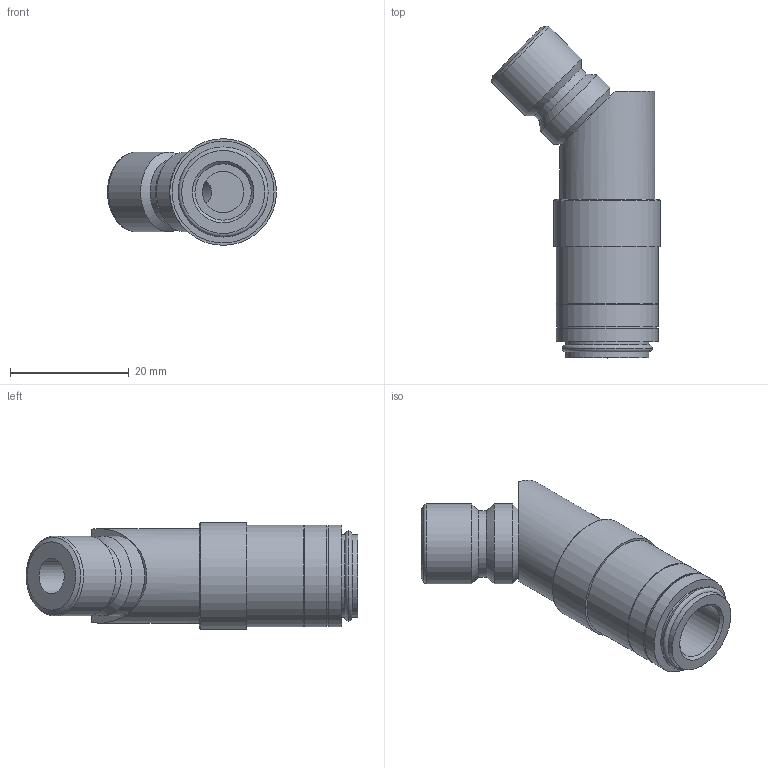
import cadquery as cq
import math

nose_radius = 7.0
shoulder_y = 2.73
sleeve_radius = 8.6
collar_radius = 9.0
collar_front_y = 18.75
collar_rear_y = 26.75
collar_chamfer = 0.2
stem_radius = 8.0
stem_end_y = 45.0

ring_y = 1.6
ring_section_radius = 0.6

groove_depth = 0.2
sleeve_grooves = [(5.1, 0.32), (9.05, 0.15)]

mouth_radius = 4.75
mouth_chamfer = 0.45
mouth_chamfer_angle = 45.0
mouth_depth = collar_front_y
bore_radius = 3.5
bore_depth = 42.67

tilt_angle = 45.0
tilt_origin_y = 36.51
seat_offset = 5.05
plug_radius = 6.75
plug_base_gap = 0.1
plug_base_chamfer = 0.92
neck_radius = 5.63
neck_start = 10.5
neck_end = 11.82
front_flank_length = 1.37
rear_flank_length = plug_radius - neck_radius
plug_end = 21.49
rim_cone_angle = 60.0
rim_cone_length = 0.42
rim_round_radius = 0.5
plug_bore_radius = 3.0

body_plane = cq.Plane(origin=(0, 0, 0), xDir=(1, 0, 0), normal=(0, -1, 0))
tilt_direction = (-math.sin(math.radians(tilt_angle)), math.cos(math.radians(tilt_angle)), 0)
tilt_plane = cq.Plane(origin=(0, tilt_origin_y, 0), xDir=(0, 0, 1), normal=tilt_direction)


def body_cylinder(radius, start_y, end_y):
    """Cylinder about the Y axis between two Y positions."""
    return cq.Workplane(body_plane).workplane(offset=-end_y).circle(radius).extrude(end_y - start_y)


def tilted_cylinder(radius, start, end):
    """Cylinder about the tilted axis between two distances from its origin."""
    return cq.Workplane(tilt_plane).workplane(offset=start).circle(radius).extrude(end - start)


def make_body():
    nose = body_cylinder(nose_radius, 0, shoulder_y)
    sleeve = body_cylinder(sleeve_radius, shoulder_y, collar_front_y)
    collar = body_cylinder(collar_radius, collar_front_y, collar_rear_y)
    collar = collar.faces(">Y").edges().chamfer(collar_chamfer)
    stem = body_cylinder(stem_radius, collar_rear_y, stem_end_y)
    cutter_size = 2 * stem_radius
    stem = stem.cut(tilted_cylinder(cutter_size, seat_offset, seat_offset + cutter_size))
    return nose.union(sleeve).union(collar).union(stem)


def make_ring():
    section = cq.Workplane("XY").center(nose_radius, ring_y).circle(ring_section_radius)
    return section.revolve(360, (-nose_radius, 0, 0), (-nose_radius, 1, 0))


def make_sleeve_groove(centre_y, width):
    start_y = centre_y - width / 2
    end_y = centre_y + width / 2
    outside = body_cylinder(collar_radius, start_y, end_y)
    return outside.cut(body_cylinder(sleeve_radius - groove_depth, start_y, end_y))


def rim_round_point(angle, round_start):
    """Point (radius, distance) on the plug's rim round after turning by angle degrees."""
    turn = math.radians(angle)
    radius = plug_radius - rim_round_radius * (1 - math.cos(turn))
    return (radius, round_start + rim_round_radius * math.sin(turn))


def make_plug():
    base = seat_offset + plug_base_gap
    base_radius = plug_radius - plug_base_chamfer
    cone_start = plug_end - rim_cone_length
    round_start = cone_start - rim_round_radius * math.sin(math.radians(rim_cone_angle))
    round_middle = rim_round_point(rim_cone_angle / 2, round_start)
    round_end = rim_round_point(rim_cone_angle, round_start)
    end_face_radius = round_end[0] - rim_cone_length * math.tan(math.radians(rim_cone_angle))

    profile_plane = cq.Plane(
        origin=tilt_plane.origin, xDir=tilt_plane.xDir, normal=tilt_plane.xDir.cross(tilt_plane.zDir)
    )
    profile = (
        cq.Workplane(profile_plane)
        .moveTo(0, seat_offset)
        .lineTo(base_radius, seat_offset)
        .lineTo(base_radius, base)
        .lineTo(plug_radius, base + plug_base_chamfer)
        .lineTo(plug_radius, neck_start - front_flank_length)
        .lineTo(neck_radius, neck_start)
        .lineTo(neck_radius, neck_end)
        .lineTo(plug_radius, neck_end + rear_flank_length)
        .lineTo(plug_radius, round_start)
        .threePointArc(round_middle, round_end)
        .lineTo(end_face_radius, plug_end)
        .lineTo(0, plug_end)
        .close()
    )
    return profile.revolve(360, (0, 0, 0), (0, 1, 0))


def make_bores():
    mouth = body_cylinder(mouth_radius, 0, mouth_depth)
    flare = cq.Workplane(body_plane).circle(mouth_radius + mouth_chamfer)
    flare = flare.extrude(-mouth_chamfer, taper=mouth_chamfer_angle)
    bore = body_cylinder(bore_radius, 0, bore_depth)
    plug_bore = tilted_cylinder(plug_bore_radius, 0, plug_end)
    return mouth.union(flare).union(bore).union(plug_bore)


result = make_body().union(make_ring()).union(make_plug())
for centre_y, width in sleeve_grooves:
    result = result.cut(make_sleeve_groove(centre_y, width))
result = result.cut(make_bores())